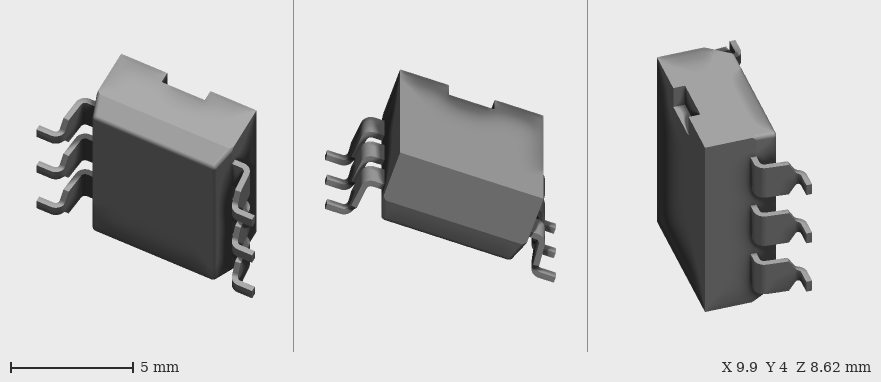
import cadquery as cq
import math


span = 9.9
height = 4.0
length = 8.62

body_width = 6.22
standoff = 0.79
draft = 17.0
edge_radius = 0.2
notch_width = 1.98
notch_height = 0.5
notch_depth = 0.99

lead_count = 3
pitch = 2.53
thickness = 0.25
lead_width = 1.54
foot_width = 0.51
shoulder_top = 2.04
shoulder_run = 0.43
shin_tilt = 5.5
inner_bend = 0.2
neck_start = 0.7
neck_angle = 58.0
neck_radius = 0.2

side_x = body_width / 2
taper_start = shoulder_top - thickness
taper_height = taper_start - standoff
outer_bend = inner_bend + thickness


def make_housing():
    """Box with a tapered, rounded end facing the board and a notch in the top."""
    box = cq.Workplane("XZ", origin=(0, taper_start, 0)).rect(body_width, length)
    box = box.extrude(-(height - taper_start))
    taper = cq.Workplane("XZ", origin=(0, taper_start, 0)).rect(body_width, length)
    taper = taper.extrude(taper_height, taper=draft)
    tapered_end = cq.selectors.BoxSelector(
        (-body_width, standoff - edge_radius, -length),
        (body_width, taper_start - edge_radius, length),
    )
    body = box.union(taper).edges(tapered_end).fillet(edge_radius)

    notch = cq.Workplane("XY").box(notch_width, notch_height, notch_depth)
    notch = notch.translate((0, height - notch_height / 2, (length - notch_depth) / 2))
    return body.cut(notch).solids().val()


def make_lead():
    """Gull-wing lead for the +X side, centred on Z = 0."""
    tilt = math.radians(shin_tilt)
    across = cq.Vector(math.cos(tilt), math.sin(tilt))
    along = cq.Vector(math.sin(tilt), -math.cos(tilt))

    upper = cq.Vector(side_x + shoulder_run, shoulder_top - outer_bend)
    bend_sum = inner_bend + outer_bend
    drop = upper.y - outer_bend
    shin_length = (drop + bend_sum * math.sin(tilt)) / math.cos(tilt)
    lower = upper + across * bend_sum + along * shin_length

    half = math.radians((90 + shin_tilt) / 2)
    middle = cq.Vector(math.cos(half), math.sin(half))
    vertical = cq.Vector(0, 1)

    def on_upper(direction, radius):
        return (upper + direction * radius).toTuple()[:2]

    def on_lower(direction, radius):
        return (lower - direction * radius).toTuple()[:2]

    strip = (
        cq.Workplane("XY", origin=(0, 0, -lead_width / 2))
        .moveTo(side_x, shoulder_top)
        .lineTo(*on_upper(vertical, outer_bend))
        .threePointArc(on_upper(middle, outer_bend), on_upper(across, outer_bend))
        .lineTo(*on_lower(across, inner_bend))
        .threePointArc(on_lower(middle, inner_bend), on_lower(vertical, inner_bend))
        .lineTo(span / 2, thickness)
        .lineTo(span / 2, 0)
        .lineTo(*on_lower(vertical, outer_bend))
        .threePointArc(on_lower(middle, outer_bend), on_lower(across, outer_bend))
        .lineTo(*on_upper(across, inner_bend))
        .threePointArc(on_upper(middle, inner_bend), on_upper(vertical, inner_bend))
        .lineTo(side_x, taper_start)
        .close()
        .extrude(lead_width)
    )

    to_neck = (upper.y + outer_bend * across.y - neck_start) / math.cos(tilt)
    neck_origin = upper + across * outer_bend + along * to_neck
    neck_plane = cq.Plane(neck_origin, xDir=along, normal=across * -1)
    neck_length = (lead_width - foot_width) / 2 / math.tan(math.radians(neck_angle))
    outline = (
        cq.Workplane(neck_plane)
        .moveTo(-height, lead_width / 2)
        .lineTo(0, lead_width / 2)
        .lineTo(neck_length, foot_width / 2)
        .lineTo(height, foot_width / 2)
        .lineTo(height, -foot_width / 2)
        .lineTo(neck_length, -foot_width / 2)
        .lineTo(0, -lead_width / 2)
        .lineTo(-height, -lead_width / 2)
        .close()
        .extrude(span / 2, both=True)
    )
    neck_point = neck_origin + along * neck_length
    for side in (1, -1):
        corner = neck_point + cq.Vector(0, 0, side * foot_width / 2)
        outline = outline.edges(cq.selectors.NearestToPointSelector(corner)).fillet(neck_radius)
    return strip.intersect(outline).solids().val()


def make_leads():
    """Rows of leads along both long sides, each one a separate solid."""
    right_lead = make_lead()
    left_lead = right_lead.mirror("YZ")
    leads = []
    for lead in (left_lead, right_lead):
        for row in range(lead_count):
            z = (row - (lead_count - 1) / 2) * pitch
            leads.append(lead.translate((0, 0, z)))
    return leads


housing = make_housing()
leads = make_leads()
result = cq.Compound.makeCompound([housing, *leads])